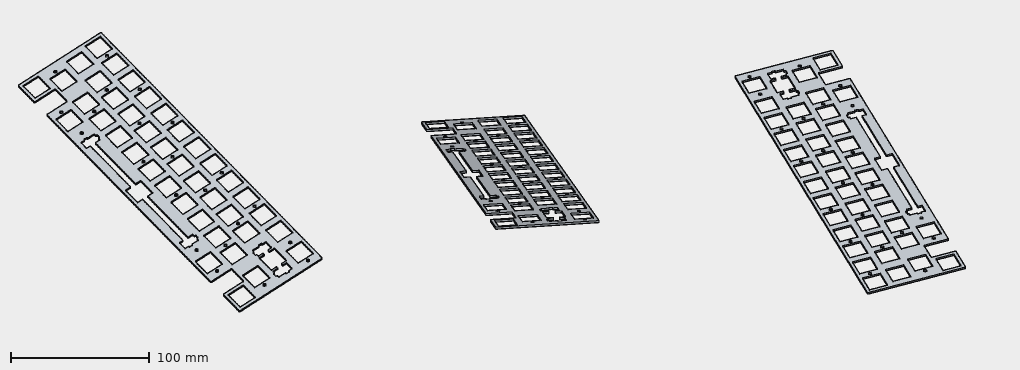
import cadquery as cq

UNIT = 19.05
PLATE_UNITS_X = 13.5
PLATE_UNITS_Y = 4
PLATE_THICKNESS = 1.6
PLATE_LENGTH = PLATE_UNITS_X * UNIT
PLATE_WIDTH = PLATE_UNITS_Y * UNIT
CORNER_RADIUS = 0.5
CUT_HEIGHT = 4 * PLATE_THICKNESS

SWITCH_SIZE = 14.0
HOLE_DIAMETER = 2.3

TOP_ROW, SECOND_ROW, THIRD_ROW, BOTTOM_ROW = 3, 2, 1, 0
BLOCKER_WIDTH = 0.75
ENTER_WIDTH = 2.25
SPACE_BAR_WIDTH = 7
KEY_WIDTHS = {
    TOP_ROW: [1] * 12 + [1.5],
    SECOND_ROW: [1.25] + [1] * 10 + [ENTER_WIDTH],
    THIRD_ROW: [1.75] + [1] * 10 + [1.75],
    BOTTOM_ROW: [1, BLOCKER_WIDTH, 1.5, SPACE_BAR_WIDTH, 1.5, BLOCKER_WIDTH, 1],
}

HOLE_POSITIONS = {
    TOP_ROW: [1, 3, 5, 8, 10, 12.17, 13.25],
    SECOND_ROW: [2.25, 4.25, 6.25, 8.25, 10.25],
    THIRD_ROW: [0.375, 2.75, 5.75, 7.75, 10.75, 13.125],
    BOTTOM_ROW: [2, 3.25, 10.25, 11.5],
}

STABILIZER_SPREAD = {ENTER_WIDTH: 11.938, SPACE_BAR_WIDTH: 57.15}

HOUSING_WIDTH = 6.65
HOUSING_BACK = 5.7
HOUSING_FRONT = -6.6
WIRE_NOTCH_WIDTH = 3.0
WIRE_NOTCH_FRONT = -7.8
SIDE_NOTCH_REACH = 4.2
SIDE_NOTCH_BACK = 2.3
SIDE_NOTCH_FRONT = -0.5
BAR_SLOT_WIDTH = 4.6


def row_center(row):
    return (row + 0.5) * UNIT


def block(x_limits, y_limits):
    """Through cutter spanning the given X and Y limits."""
    x_min, x_max = sorted(x_limits)
    y_min, y_max = sorted(y_limits)
    return (
        cq.Workplane("XY")
        .box(x_max - x_min, y_max - y_min, CUT_HEIGHT)
        .translate(((x_min + x_max) / 2, (y_min + y_max) / 2, 0))
    )


def make_plate():
    return cq.Workplane("XY").box(PLATE_LENGTH, PLATE_WIDTH, PLATE_THICKNESS, centered=False)


def key_layout():
    """List of (row, centre X, width in key units) for every place in the grid."""
    places = []
    for row, widths in KEY_WIDTHS.items():
        left = 0
        for width in widths:
            places.append((row, (left + width / 2) * UNIT, width))
            left += width
    return places


def cut_switch_openings(plate, places):
    centers = [(x, row_center(row)) for row, x, width in places if width != BLOCKER_WIDTH]
    cutters = cq.Workplane("XY").pushPoints(centers).box(SWITCH_SIZE, SWITCH_SIZE, CUT_HEIGHT)
    return plate.cut(cutters)


def cut_blocker_notches(plate, places):
    half_width = BLOCKER_WIDTH * UNIT / 2
    for row, x, width in places:
        if width == BLOCKER_WIDTH:
            plate = plate.cut(block((x - half_width, x + half_width), (0, UNIT)))
    return plate


def stabilizer_cutter(spread, facing):
    """Both housings and the bar slot about the key centre; facing is -1 when flipped."""
    cutter = block((-spread, spread), (-BAR_SLOT_WIDTH / 2, BAR_SLOT_WIDTH / 2))
    half_housing = HOUSING_WIDTH / 2
    half_notch = WIRE_NOTCH_WIDTH / 2
    for side in (-1, 1):
        x = side * spread
        housing = block(
            (x - half_housing, x + half_housing),
            (facing * HOUSING_FRONT, facing * HOUSING_BACK),
        )
        wire_notch = block((x - half_notch, x + half_notch), (0, facing * WIRE_NOTCH_FRONT))
        side_notch = block(
            (x, x + side * SIDE_NOTCH_REACH),
            (facing * SIDE_NOTCH_FRONT, facing * SIDE_NOTCH_BACK),
        )
        cutter = cutter.union(housing).union(wire_notch).union(side_notch)
    return cutter


def round_outline_corners(plate):
    """Round every vertical edge of the outline, notches included."""
    return plate.edges("|Z").fillet(CORNER_RADIUS)


def cut_stabilizers(plate, places):
    for row, x, width in places:
        if width in STABILIZER_SPREAD:
            facing = -1 if width == SPACE_BAR_WIDTH else 1
            cutter = stabilizer_cutter(STABILIZER_SPREAD[width], facing)
            plate = plate.cut(cutter.translate((x, row_center(row), 0)))
    return plate


def cut_fixing_holes(plate):
    centers = [(x * UNIT, row_center(row)) for row, xs in HOLE_POSITIONS.items() for x in xs]
    cutters = cq.Workplane("XY").pushPoints(centers).circle(HOLE_DIAMETER / 2).extrude(PLATE_THICKNESS)
    return plate.cut(cutters)


key_places = key_layout()
result = make_plate()
result = cut_blocker_notches(result, key_places)
result = round_outline_corners(result)
result = cut_switch_openings(result, key_places)
result = cut_stabilizers(result, key_places)
result = cut_fixing_holes(result)